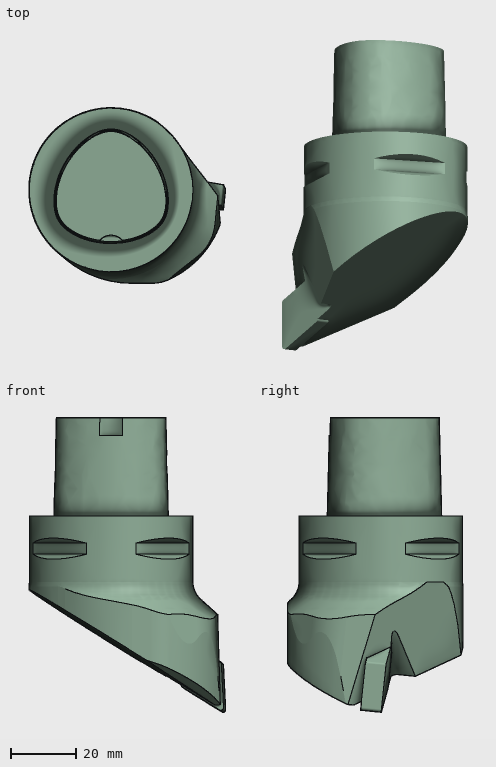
import cadquery as cq
import math


SHANK_LENGTH = 30.0
SHANK_MEAN_RADIUS = 17.5
SHANK_TAPER = 1 / 40
SHANK_LOBE = 2.24
SHANK_POINTS = 48
KEY_RADIUS = 4.5
KEY_DEPTH = 5.5
KEY_CENTRE_Y = -18.3

FLANGE_RADIUS = 25.0
FLANGE_HEIGHT = 20.2
SLOT_Z = -10.0
SLOT_FLOOR_DISTANCE = 22.2
SLOT_FLOOR_WIDTH = 3.4
SLOT_MOUTH_WIDTH = 6.45
SLOT_ANGLES = (45, 135, 225, 315)

TIP_X = 35.0
TIP_Z = -60.0
HEAD_RADIUS = 25.15
NECK_FILLET = 7.0
CONE_ANGLE = 42.0
CONE_REACH = 45.0
HEAD_BOTTOM = TIP_Z - 5
FRONT_Y = -28.54
FRONT_START_X = 6.4
FRONT_END_X = 12.4
ARM_START_ANGLE = 229.9
ARM_STRAIGHT = 2.9
CORNER_RADIUS = 12.5
CORNER_TURN = 24.4
NOSE_RADIUS = 30.0
NOSE_TURN = 44.0
NOSE_STRAIGHT = 10.0
FLANK_ANGLE = 55.0
FLANK_LENGTH = 30.0

BOTTOM_Z = -38.2
BOTTOM_SLOPE_X = -0.625
BOTTOM_SLOPE_Y = -0.03
RELIEF_Z = -51.4
RELIEF_SLOPE_X = -0.298
RELIEF_SLOPE_Y = -0.368

INSERT_CIRCLE = 12.7
INSERT_ANGLE = 55.0
INSERT_THICKNESS = 6.35
INSERT_NOSE = 0.8
RAKE_TILT = 0.11

SIDE_CLEARANCE = 0.5
SIDE_ROUND = 15.0
SIDE_TURN = 45.0
SIDE_STRAIGHT = 13.5
POCKET_WALL_START = 23.0
POCKET_WALL_ANGLE = 93.0
POCKET_FILLET = 2.0
REAR_FACE_POINT = (16.3, 11.2, -48.7)
REAR_FACE_NORMAL = (0.729, 0.661, -0.178)
FAR = 150.0


def unit(degrees):
    """Unit vector at an angle in the XY plane."""
    return cq.Vector(math.cos(math.radians(degrees)), math.sin(math.radians(degrees)), 0)


def pair(point):
    return point.x, point.y


def half_space(point, normal):
    """Large block that fills the side of a plane to which the normal points."""
    plane = cq.Plane(origin=point, normal=normal)
    return cq.Workplane(plane).rect(2 * FAR, 2 * FAR).extrude(FAR)


RAKE_NORMAL = cq.Vector(RAKE_TILT, 1, BOTTOM_SLOPE_X * RAKE_TILT + BOTTOM_SLOPE_Y).normalized()
BOTTOM_NORMAL = cq.Vector(BOTTOM_SLOPE_X, BOTTOM_SLOPE_Y, -1)
LOWER_EDGE = RAKE_NORMAL.cross(BOTTOM_NORMAL).normalized()

nose_reach = INSERT_NOSE / math.sin(math.radians(INSERT_ANGLE / 2))
lower_edge_angle = math.degrees(math.atan2(LOWER_EDGE.z, LOWER_EDGE.x))
nose_direction = unit(lower_edge_angle - INSERT_ANGLE / 2)
corner = cq.Vector(
    TIP_X - INSERT_NOSE - nose_reach * nose_direction.x,
    0,
    TIP_Z + INSERT_NOSE - nose_reach * nose_direction.y,
)
insert_plane = cq.Plane(origin=corner, xDir=LOWER_EDGE, normal=RAKE_NORMAL)
SIDE_EDGE = insert_plane.toWorldCoords(unit(INSERT_ANGLE)) - corner


def make_insert():
    edge = INSERT_CIRCLE / math.sin(math.radians(INSERT_ANGLE))
    lower = cq.Vector(edge, 0, 0)
    side = unit(INSERT_ANGLE) * edge
    outline = [cq.Vector(0, 0, 0), lower, lower + side, side]
    blank = cq.Workplane(insert_plane).polyline([pair(point) for point in outline]).close()
    blank = blank.extrude(-INSERT_THICKNESS)
    return blank.edges(cq.selectors.ParallelDirSelector(RAKE_NORMAL)).fillet(INSERT_NOSE)


def polygon_point(phi, radius):
    """Point of the three-lobed shank outline, with one lobe towards +Y."""
    along = radius * math.cos(phi) - SHANK_LOBE * math.cos(2 * phi) + SHANK_LOBE / 2 * math.cos(4 * phi)
    across = radius * math.sin(phi) + SHANK_LOBE * math.sin(2 * phi) + SHANK_LOBE / 2 * math.sin(4 * phi)
    return across, -along


def make_shank():
    def outline(radius):
        angles = [2 * math.pi * i / SHANK_POINTS for i in range(SHANK_POINTS)]
        return [polygon_point(phi, radius) for phi in angles]

    top_radius = SHANK_MEAN_RADIUS - SHANK_TAPER * SHANK_LENGTH
    shank = (
        cq.Workplane("XY")
        .spline(outline(SHANK_MEAN_RADIUS), periodic=True).close()
        .workplane(offset=SHANK_LENGTH)
        .spline(outline(top_radius), periodic=True).close()
        .loft(ruled=True)
    )
    key = (
        cq.Workplane("XY", origin=(0, KEY_CENTRE_Y, SHANK_LENGTH))
        .circle(KEY_RADIUS).extrude(-KEY_DEPTH)
    )
    return shank.cut(key)


def make_flange():
    flange = cq.Workplane("XY").circle(FLANGE_RADIUS).extrude(-FLANGE_HEIGHT)
    depth = FLANGE_RADIUS - SLOT_FLOOR_DISTANCE
    floor = SLOT_FLOOR_WIDTH / 2
    mouth = SLOT_MOUTH_WIDTH / 2
    outer = 2 * mouth - floor
    slot = (
        cq.Workplane("XZ")
        .polyline([
            (SLOT_FLOOR_DISTANCE, SLOT_Z - floor),
            (SLOT_FLOOR_DISTANCE + 2 * depth, SLOT_Z - outer),
            (SLOT_FLOOR_DISTANCE + 2 * depth, SLOT_Z + outer),
            (SLOT_FLOOR_DISTANCE, SLOT_Z + floor),
        ])
        .close().extrude(FLANGE_RADIUS, both=True)
    )
    for angle in SLOT_ANGLES:
        flange = flange.cut(slot.rotate((0, 0, 0), (0, 0, 1), angle))
    return flange


def make_neck():
    """Round body below the flange: a concave fillet that runs out into a cone."""
    turn = math.radians(90 - CONE_ANGLE)
    cone_radius = FLANGE_RADIUS + NECK_FILLET * (1 - math.cos(turn))
    cone_z = -FLANGE_HEIGHT - NECK_FILLET * math.sin(turn)
    mid_radius = FLANGE_RADIUS + NECK_FILLET * (1 - math.cos(turn / 2))
    mid_z = -FLANGE_HEIGHT - NECK_FILLET * math.sin(turn / 2)
    reach_z = cone_z - (CONE_REACH - cone_radius) * math.tan(math.radians(CONE_ANGLE))
    return (
        cq.Workplane("XZ")
        .moveTo(0, -FLANGE_HEIGHT)
        .lineTo(FLANGE_RADIUS, -FLANGE_HEIGHT)
        .threePointArc((mid_radius, mid_z), (cone_radius, cone_z))
        .lineTo(CONE_REACH, reach_z)
        .lineTo(CONE_REACH, HEAD_BOTTOM)
        .lineTo(0, HEAD_BOTTOM)
        .close().revolve(360, (0, 0, 0), (0, 1, 0))
    )


def make_arm():
    """Upright prism with the outline of the head."""
    back = unit(180) * HEAD_RADIUS
    arm_start = unit(ARM_START_ANGLE) * HEAD_RADIUS
    sweep_start = arm_start + unit(ARM_START_ANGLE + 90) * ARM_STRAIGHT
    corner_centre = cq.Vector(FRONT_END_X, FRONT_Y + CORNER_RADIUS, 0)
    nose_start = corner_centre + unit(CORNER_TURN - 90) * CORNER_RADIUS
    nose_centre = nose_start - unit(CORNER_TURN - 90) * NOSE_RADIUS
    nose_heading = CORNER_TURN + NOSE_TURN
    nose_end = nose_centre + unit(nose_heading - 90) * NOSE_RADIUS
    far_point = nose_end + unit(nose_heading) * NOSE_STRAIGHT
    flank_start = unit(FLANK_ANGLE) * HEAD_RADIUS
    flank_end = flank_start + unit(FLANK_ANGLE - 90) * FLANK_LENGTH

    return (
        cq.Workplane("XY")
        .moveTo(*pair(flank_start))
        .threePointArc(pair(back), pair(arm_start))
        .lineTo(*pair(sweep_start))
        .tangentArcPoint((FRONT_START_X, FRONT_Y), relative=False)
        .lineTo(FRONT_END_X, FRONT_Y)
        .tangentArcPoint(pair(nose_start), relative=False)
        .tangentArcPoint(pair(nose_end), relative=False)
        .lineTo(*pair(far_point))
        .lineTo(*pair(flank_end))
        .close().extrude(HEAD_BOTTOM)
    )


def make_side_form():
    """Block whose side face runs parallel to the insert's side edge, rounded at the front."""
    outward = RAKE_NORMAL.cross(SIDE_EDGE)
    section = cq.Plane(origin=corner, xDir=outward, normal=SIDE_EDGE)
    round_centre = cq.Vector(-SIDE_CLEARANCE - SIDE_ROUND, -SIDE_STRAIGHT, 0)
    round_end = round_centre + unit(-SIDE_TURN) * SIDE_ROUND
    far_end = round_end + unit(-SIDE_TURN - 90) * FAR
    return (
        cq.Workplane(section)
        .moveTo(-SIDE_CLEARANCE, FAR)
        .lineTo(-SIDE_CLEARANCE, -SIDE_STRAIGHT)
        .tangentArcPoint(pair(round_end), relative=False)
        .lineTo(*pair(far_end))
        .lineTo(-FAR, far_end.y)
        .lineTo(-FAR, FAR)
        .close().extrude(FAR, both=True)
    )


def make_chip_pocket():
    """Cutter in front of the rake face, bounded by a wall with a filleted foot."""
    wall_foot = insert_plane.toWorldCoords((POCKET_WALL_START, 0, 0))
    wall_run = insert_plane.toWorldCoords(unit(POCKET_WALL_ANGLE)) - corner
    section = cq.Plane(origin=wall_foot, xDir=RAKE_NORMAL, normal=wall_run)
    return (
        cq.Workplane(section)
        .moveTo(POCKET_FILLET, 0)
        .radiusArc((0, -POCKET_FILLET), -POCKET_FILLET)
        .lineTo(0, -FAR)
        .lineTo(FAR, -FAR)
        .lineTo(FAR, 0)
        .close().extrude(FAR, both=True)
    )


def above(z, slope_x, slope_y):
    """Space above the plane z + slope_x * x + slope_y * y."""
    return half_space((0, 0, z), (-slope_x, -slope_y, 1))


def make_head():
    head = make_neck().intersect(make_arm())
    head = head.intersect(make_side_form())
    head = head.intersect(above(BOTTOM_Z, BOTTOM_SLOPE_X, BOTTOM_SLOPE_Y))
    head = head.intersect(above(RELIEF_Z, RELIEF_SLOPE_X, RELIEF_SLOPE_Y))
    head = head.cut(half_space(REAR_FACE_POINT, REAR_FACE_NORMAL))
    return head.cut(make_chip_pocket())


insert = make_insert()
holder = make_shank().union(make_flange()).union(make_head()).cut(insert)
result = cq.Compound.makeCompound([holder.val(), insert.val()])